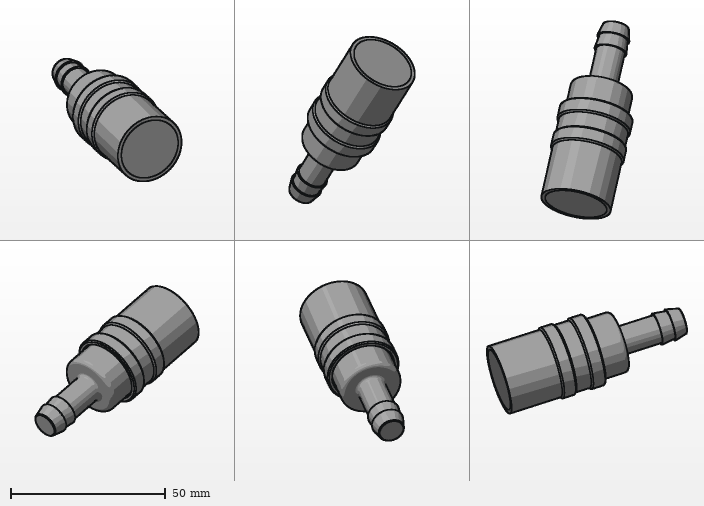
import cadquery as cq

length = 63.6

tip_diameter = 8.5
tip_chamfer = 0.25
barb_diameter = 10.6
barb_pitch = 4.45
barb_count = 2
barb_lip = 0.25
stem_diameter = 9.5

body_start = 22.0
body_diameter = 20.5
body_fillet = 1.5
stem_fillet = 1.0

sleeve_start = 31.05
sleeve_diameter = 23.0
collar_diameter = 24.15
second_collar_start = 41.1
collar_length = 5.0
collar_chamfer = (collar_diameter - sleeve_diameter) / 2
front_chamfer = 0.45
recess_diameter = 21.25
recess_depth = 1.0


def cylinder(start, end, diameter):
    """Cylinder on the X axis between two X positions."""
    return cq.Workplane("YZ", origin=(start, 0, 0)).circle(diameter / 2).extrude(end - start)


def barb(start, start_diameter):
    """Cone that widens away from the tip and ends in a short cylindrical lip."""
    end = start + barb_pitch
    return (
        cq.Workplane("XY")
        .moveTo(start, 0)
        .lineTo(start, start_diameter / 2)
        .lineTo(end - barb_lip, barb_diameter / 2)
        .lineTo(end, barb_diameter / 2)
        .lineTo(end, 0)
        .close()
        .revolve(360, (0, 0, 0), (1, 0, 0))
    )


def make_core():
    """Barbed stem and the body that fills the sleeve bore."""
    body = cylinder(body_start, length, body_diameter).faces("<X").edges().fillet(body_fillet)
    stem = cylinder(barb_pitch, body_start, stem_diameter)
    core = body.union(stem)
    shoulder = cq.selectors.BoxSelector(
        (body_start - stem_fillet / 2, -stem_diameter, -stem_diameter),
        (body_start + stem_fillet / 2, stem_diameter, stem_diameter),
        boundingbox=True,
    )
    stem_root = cq.selectors.RadiusNthSelector(0)
    core = core.edges(shoulder).edges(stem_root).fillet(stem_fillet)
    tip_barb = barb(0, tip_diameter).faces("<X").edges().chamfer(tip_chamfer)
    core = core.union(tip_barb)
    for index in range(1, barb_count):
        core = core.union(barb(index * barb_pitch, stem_diameter))
    return core


def collar(start, start_chamfer):
    """Raised ring around the sleeve with both rims chamfered."""
    ring = cylinder(start, start + collar_length, collar_diameter)
    ring = ring.faces("<X").edges().chamfer(start_chamfer)
    return ring.faces(">X").edges().chamfer(collar_chamfer)


def make_sleeve():
    """Tube with two collars, a through bore for the core and a clearance recess at its mouth."""
    sleeve = cylinder(sleeve_start + collar_length / 2, length, sleeve_diameter)
    sleeve = sleeve.union(collar(sleeve_start, front_chamfer))
    sleeve = sleeve.union(collar(second_collar_start, collar_chamfer))
    sleeve = sleeve.cut(cylinder(sleeve_start, length, body_diameter))
    return sleeve.cut(cylinder(sleeve_start, sleeve_start + recess_depth, recess_diameter))


core = make_core()
sleeve = make_sleeve()
result = cq.Compound.makeCompound([core.val(), sleeve.val()])